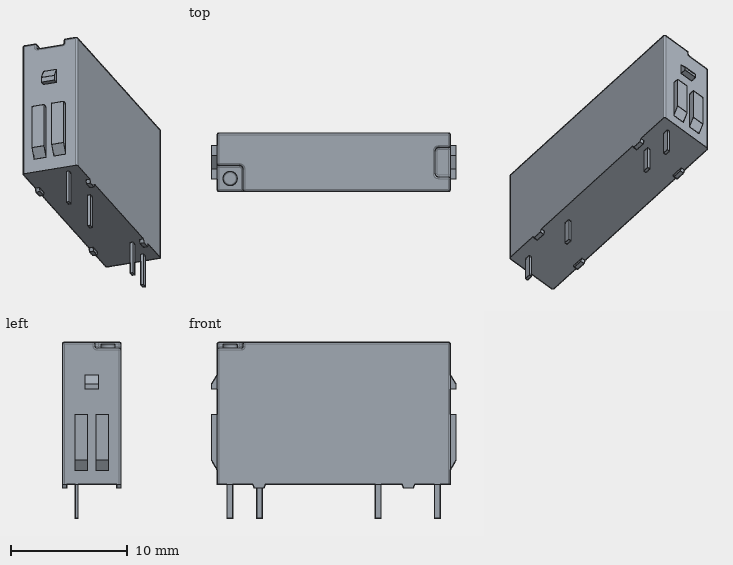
import cadquery as cq

overall_length = 21.0
side_projection = 0.5
body_length = overall_length - 2 * side_projection
body_width = 5.02
body_height = 12.2
half_length = body_length / 2
half_width = body_width / 2
edge_radius = 0.158

recess_depth = 0.5
recess_corner_radius = 0.32
recess_floor_radius = 0.15
recess_floor_z = body_height - recess_depth
notch_size = 2.23
pocket_length = 1.3
pocket_width = 2.52
overcut = 1.05

button_radius = 0.6
button_height = 0.34
button_edge_radius = 0.08

wedge_width = 1.2
wedge_bottom_z = 8.17
wedge_slope_start_z = 8.6
wedge_top_z = 9.4
rib_width = 1.1
rib_spacing = 1.8
rib_bottom_z = 1.22
rib_slope_end_z = 2.1
rib_top_z = 6.0

foot_spacing = 12.8
foot_top_length = 1.1
foot_bottom_length = 0.85
foot_width = 0.38
foot_height = 0.32

pin_pitch = 2.55
pin_grid_steps = (0, 1, 5, 7)
first_pin_x = -8.9
pin_y = 1.3
pin_length_x = 0.5
pin_width_y = 0.25
pin_depth = 2.9
pin_root = 0.2


def recess_cutter(length, width, rounded_edges):
    """Block with rounded vertical corners and a rounded floor edge, resting on Z = 0."""
    block = cq.Workplane("XY").box(length, width, 2 * recess_depth, centered=(True, True, False))
    block = block.edges(rounded_edges).fillet(recess_corner_radius)
    return block.faces("<Z").edges().fillet(recess_floor_radius)


def make_body():
    """Rectangular body with a corner notch and an end pocket, rounded except at the bottom."""
    body = cq.Workplane("XY").box(body_length, body_width, body_height, centered=(True, True, False))

    notch_side = notch_size + overcut
    notch = recess_cutter(notch_side, notch_side, "|Z and >X and >Y").translate(
        (
            -half_length + notch_size - notch_side / 2,
            -half_width + notch_size - notch_side / 2,
            recess_floor_z,
        )
    )
    pocket_side = pocket_length + overcut
    pocket = recess_cutter(pocket_side, pocket_width, "|Z and <X").translate(
        (half_length - pocket_length + pocket_side / 2, 0, recess_floor_z)
    )
    body = body.cut(notch).cut(pocket)

    outer_edges = body.faces(">Z or <X or >X or <Y or >Y").edges()
    bottom_edges = body.faces("<Z").edges()
    rounded = [edge for edge in outer_edges.vals() if edge not in bottom_edges.vals()]
    return body.newObject(rounded).fillet(edge_radius)


def make_button():
    """Round button standing on the floor of the corner notch."""
    return (
        cq.Workplane("XY")
        .circle(button_radius)
        .extrude(button_height)
        .faces(">Z")
        .edges()
        .fillet(button_edge_radius)
        .translate((-half_length + notch_size / 2, -half_width + notch_size / 2, recess_floor_z))
    )


def extrude_along_y(points, width, y_center):
    """Extrude an XZ outline along Y, centred on y_center."""
    profile = cq.Workplane("XZ").polyline(points).close()
    return profile.extrude(width / 2, both=True).translate((0, y_center, 0))


def make_end_projections():
    """Snap wedge and two guide ribs on the +X end."""
    outer_x = half_length + side_projection
    wedge_points = [
        (0, wedge_bottom_z),
        (outer_x, wedge_bottom_z),
        (outer_x, wedge_slope_start_z),
        (half_length, wedge_top_z),
        (0, wedge_top_z),
    ]
    rib_points = [
        (0, rib_bottom_z),
        (half_length, rib_bottom_z),
        (outer_x, rib_slope_end_z),
        (outer_x, rib_top_z),
        (0, rib_top_z),
    ]
    projections = extrude_along_y(wedge_points, wedge_width, 0)
    for side in (-1, 1):
        projections = projections.union(
            extrude_along_y(rib_points, rib_width, side * rib_spacing / 2)
        )
    return projections


def make_foot(x_center, side):
    """Tapered standoff foot, flush with the long face on the given Y side."""
    points = [
        (-foot_top_length / 2, 0),
        (-foot_bottom_length / 2, -foot_height),
        (foot_bottom_length / 2, -foot_height),
        (foot_top_length / 2, 0),
    ]
    y_center = side * (half_width - foot_width / 2)
    return extrude_along_y(points, foot_width, y_center).translate((x_center, 0, 0))


def make_pin(x_center):
    """Flat terminal pin hanging from the bottom face."""
    return (
        cq.Workplane("XY", origin=(x_center, pin_y, pin_root))
        .rect(pin_length_x, pin_width_y)
        .extrude(-(pin_depth + pin_root))
    )


result = make_body().union(make_button())

end_projections = make_end_projections()
result = result.union(end_projections).union(end_projections.mirror("YZ"))

for foot_x in (-foot_spacing / 2, foot_spacing / 2):
    for foot_side in (-1, 1):
        result = result.union(make_foot(foot_x, foot_side))

for grid_step in pin_grid_steps:
    result = result.union(make_pin(first_pin_x + grid_step * pin_pitch))